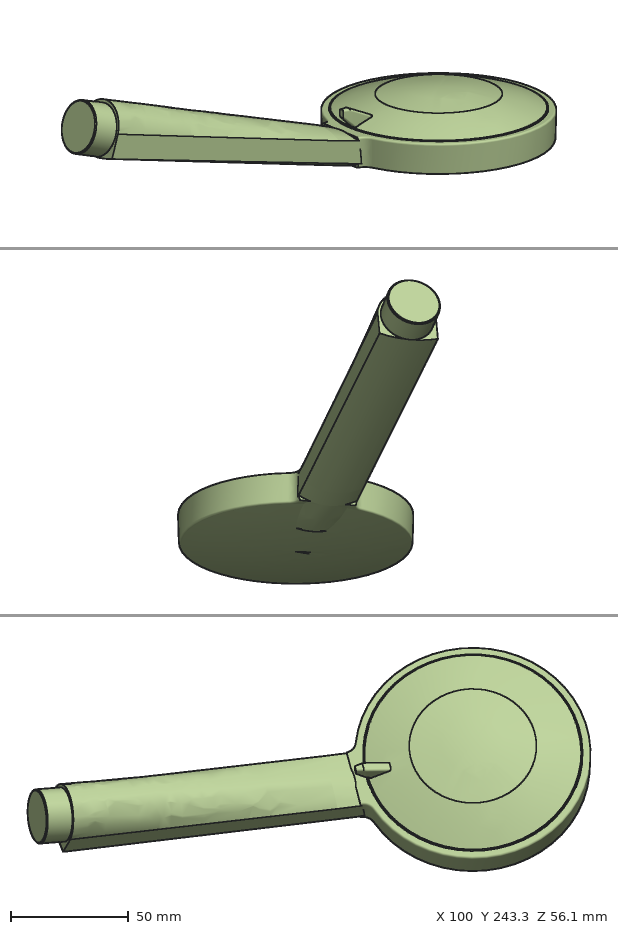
import cadquery as cq
import math

head_radius = 50.02
rim_bottom_height = 3.6
rim_top_height = 17.4
rim_fillet = 0.9
wall_draft = 1.6
underside_radius = 48.6

selector_radius = 46.0
selector_gap = 0.6
selector_edge_height = 17.7
dome_height = 26.9
selector_floor = 15.4

lever_width = 4.2
lever_tip_width = 2.6
lever_start = -36.0
lever_taper_start = -47.0
lever_peak = -47.8
lever_end = -51.2
lever_top_height = 26.5
lever_tip_bottom = 22.9
lever_foot = -45.5
lever_edge_round = 0.9

button_radius = 27.0
button_floor = 21.0

handle_half_width = 12.85
handle_bend_start = -25.0
handle_bend_end = -62.0
handle_start_bottom = 0.2
handle_bottom_angle = 13.1
handle_bottom_sag = 3.4
handle_end_bottom_sag = 1.9
handle_end_shoulder = 1.2
handle_end_top = 13.1
collar_end = -51.5
collar_shoulder = 15.9
bend_shoulder = 17.9
bend_top = 21.1
root_fillet = 5.0

neck_angle = 16.6
neck_radius = 11.6
neck_length = 11.6
neck_chamfer = 0.5
neck_end_y = -190.09
neck_end_z = 45.14

neck_sin = math.sin(math.radians(neck_angle))
neck_cos = math.cos(math.radians(neck_angle))
neck_direction = cq.Vector(0, -neck_cos, neck_sin)
handle_end_center = cq.Vector(0, neck_end_y, neck_end_z) - neck_direction * neck_length


def dome_at(radius):
    """Height of the dome surface at a distance from the Z axis."""
    rise = dome_height - selector_edge_height
    sphere_radius = (selector_radius**2 + rise**2) / (2 * rise)
    return dome_height - sphere_radius + math.sqrt(sphere_radius**2 - radius**2)


def domed_disc(radius, floor):
    """Disc with a flat floor and the dome surface as its top."""
    return (
        cq.Workplane("XZ")
        .moveTo(0, floor)
        .lineTo(radius, floor)
        .lineTo(radius, dome_at(radius))
        .threePointArc((radius / 2, dome_at(radius / 2)), (0, dome_height))
        .close()
        .revolve(360, (0, 0, 0), (0, 1, 0))
    )


def handle_section(plane, bottom, corner, shoulder, top):
    """Closed handle outline: straight sides, arched bottom and arched top."""
    return (
        cq.Workplane(plane)
        .moveTo(-handle_half_width, corner)
        .threePointArc((0, bottom), (handle_half_width, corner))
        .lineTo(handle_half_width, shoulder)
        .threePointArc((0, top), (-handle_half_width, shoulder))
        .close()
        .wire()
        .val()
    )


def upright_section(y, shoulder, top):
    """Handle outline in a vertical plane, with the underside on the bend arc."""
    bend_radius = (handle_bend_start - handle_bend_end) / math.sin(math.radians(handle_bottom_angle))
    run = handle_bend_start - y
    bottom = handle_start_bottom + bend_radius - math.sqrt(bend_radius**2 - run**2)
    plane = cq.Plane(origin=(0, y, 0), xDir=(1, 0, 0), normal=(0, -1, 0))
    return handle_section(plane, bottom, bottom + handle_bottom_sag, shoulder, top)


def make_plate():
    """Round plate with drafted walls that flares into the handle through two concave arcs."""
    arc_center_x = handle_half_width + root_fillet
    arc_center_y = -math.sqrt((head_radius + root_fillet) ** 2 - arc_center_x**2)
    rim_share = head_radius / (head_radius + root_fillet)
    rim_x = arc_center_x * rim_share
    rim_y = arc_center_y * rim_share
    middle_angle = (math.pi + math.atan2(-arc_center_y, -arc_center_x)) / 2
    middle_x = arc_center_x + root_fillet * math.cos(middle_angle)
    middle_y = arc_center_y + root_fillet * math.sin(middle_angle)
    plate = (
        cq.Workplane("XY")
        .workplane(offset=rim_top_height)
        .moveTo(handle_half_width, arc_center_y)
        .threePointArc((middle_x, middle_y), (rim_x, rim_y))
        .threePointArc((0, head_radius), (-rim_x, rim_y))
        .threePointArc((-middle_x, middle_y), (-handle_half_width, arc_center_y))
        .close()
        .extrude(rim_bottom_height - rim_top_height, taper=wall_draft)
    )
    plate = plate.faces(">Z").edges("not <Y").fillet(rim_fillet)
    return plate.faces("<Z").edges("not <Y").fillet(rim_fillet)


def make_head():
    """Plate with a shallow spherical underside."""
    underside = (
        cq.Workplane("XZ")
        .lineTo(0, rim_top_height)
        .lineTo(underside_radius, rim_top_height)
        .lineTo(underside_radius, rim_bottom_height)
        .threePointArc((underside_radius / 2, rim_bottom_height / 4), (0, 0))
        .close()
        .revolve(360, (0, 0, 0), (0, 1, 0))
    )
    return make_plate().union(underside)


def make_handle():
    bend_sections = [
        upright_section(handle_bend_start, collar_shoulder, rim_top_height),
        upright_section((handle_bend_start + collar_end) / 2, collar_shoulder, rim_top_height),
        upright_section(collar_end, collar_shoulder, rim_top_height),
    ]
    bend_end = upright_section(handle_bend_end, bend_shoulder, bend_top)
    end_plane = cq.Plane(origin=handle_end_center, xDir=(1, 0, 0), normal=neck_direction)
    end = handle_section(
        end_plane,
        -neck_radius,
        handle_end_bottom_sag - neck_radius,
        handle_end_shoulder,
        handle_end_top,
    )
    root = cq.Workplane(cq.Solid.makeLoft(bend_sections))
    bend = cq.Workplane(cq.Solid.makeLoft([bend_sections[-1], bend_end], True))
    grip = cq.Workplane(cq.Solid.makeLoft([bend_end, end], True))
    neck = (
        cq.Workplane(end_plane)
        .circle(neck_radius)
        .extrude(neck_length)
        .faces(cq.selectors.DirectionMinMaxSelector(neck_direction))
        .edges()
        .chamfer(neck_chamfer)
    )
    return root.union(bend).union(grip).union(neck)


def make_shell():
    """Head, handle and neck in one piece, with the recess for the selector."""
    recess = (
        cq.Workplane("XY")
        .workplane(offset=selector_floor)
        .circle(selector_radius + selector_gap)
        .extrude(dome_height)
    )
    return make_head().union(make_handle()).cut(recess)


def make_lever():
    side = (
        cq.Workplane("YZ")
        .moveTo(lever_start, dome_at(-lever_start))
        .lineTo(lever_peak, lever_top_height)
        .lineTo(lever_end, lever_top_height)
        .lineTo(lever_end, lever_tip_bottom)
        .lineTo(lever_foot, selector_edge_height)
        .lineTo(lever_start, selector_edge_height)
        .close()
        .extrude(lever_width / 2, both=True)
    )
    plan = (
        cq.Workplane("XY")
        .moveTo(-lever_width / 2, lever_start)
        .lineTo(-lever_width / 2, lever_taper_start)
        .lineTo(-lever_tip_width / 2, lever_end)
        .lineTo(lever_tip_width / 2, lever_end)
        .lineTo(lever_width / 2, lever_taper_start)
        .lineTo(lever_width / 2, lever_start)
        .close()
        .extrude(2 * lever_top_height)
    )
    return side.intersect(plan).edges("not(<Z or |Z or |X)").fillet(lever_edge_round)


def make_button():
    return domed_disc(button_radius, button_floor)


def make_selector():
    return domed_disc(selector_radius, selector_floor).union(make_lever()).cut(make_button())


shell = make_shell().solids()
selector = make_selector().solids()
button = make_button()

result = cq.Compound.makeCompound([shell.val(), selector.val(), button.val()])